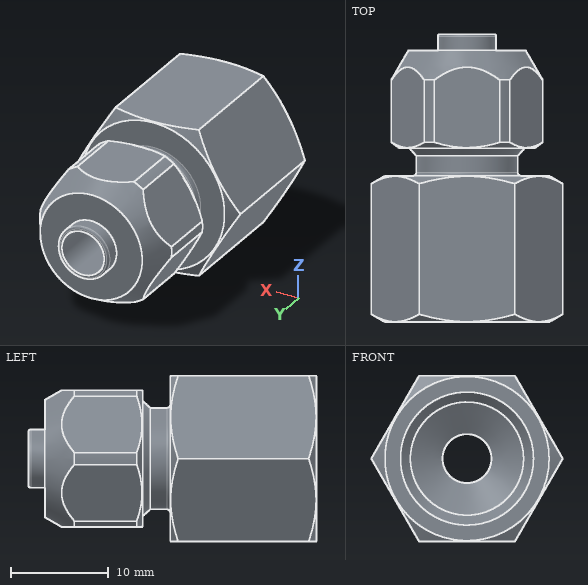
import cadquery as cq
import math

HEX_CHAMFER_ANGLE = math.radians(30)
DRILL_HALF_ANGLE = math.radians(59)

body_length = 15.0
body_flats = 17.0
body_corner_radius = body_flats / math.sqrt(3)
body_face_radius = 8.4

neck_radius = 10.4 / 2
neck_root_fillet = 0.35
collar_start = 17.02
collar_radius = 5.9

nut_start = 17.8
nut_end = 27.82
nut_flats = 14.0
nut_corner_radius = 7.75
nut_back_radius = 6.9
nut_back_angle = math.radians(36)
nut_front_radius = 6.02
nut_cone_angle = math.radians(60)

tube_end = 29.5
tube_radius = 6.0 / 2
tube_edge_fillet = 0.25

passage_radius = 5.0 / 2
socket_radius = 11.6 / 2
socket_mouth_radius = 6.8
socket_depth = 10.92


def revolve_profile(points):
    """Revolve a closed (radius, y) outline about the Y axis."""
    return cq.Workplane("XY").polyline(points).close().revolve(360, (0, 0, 0), (0, 1, 0))


def hexagon(flats, start, end):
    """Hexagonal bar along Y with corners on +X and -X."""
    corner_diameter = 2 * flats / math.sqrt(3)
    base = cq.Workplane("XZ", origin=(0, start, 0))
    return base.polygon(6, corner_diameter).extrude(start - end)


def turned_hexagon(flats, start, end, corner_radius, start_face, end_face):
    """Hexagon with conical ends; each end face is (radius, cone angle from the face)."""
    start_radius, start_angle = start_face
    end_radius, end_angle = end_face
    start_cone = (corner_radius - start_radius) * math.tan(start_angle)
    end_cone = (corner_radius - end_radius) * math.tan(end_angle)
    envelope = revolve_profile([
        (0, start),
        (start_radius, start),
        (corner_radius, start + start_cone),
        (corner_radius, end - end_cone),
        (end_radius, end),
        (0, end),
    ])
    return hexagon(flats, start, end).intersect(envelope)


def make_body():
    face = (body_face_radius, HEX_CHAMFER_ANGLE)
    return turned_hexagon(body_flats, 0, body_length, body_corner_radius, face, face)


def make_nut():
    back_face = (nut_back_radius, nut_back_angle)
    front_face = (nut_front_radius, nut_cone_angle)
    return turned_hexagon(nut_flats, nut_start, nut_end, nut_corner_radius, back_face, front_face)


def make_neck():
    """Neck with a concave root at the body and a flared collar against the nut."""
    root_radius = neck_radius + neck_root_fillet
    fillet_end = body_length + neck_root_fillet
    outline = (
        cq.Workplane("XY")
        .moveTo(0, body_length)
        .lineTo(root_radius, body_length)
        .radiusArc((neck_radius, fillet_end), neck_root_fillet)
        .lineTo(neck_radius, collar_start)
        .lineTo(collar_radius, nut_start)
        .lineTo(0, nut_start)
        .close()
    )
    return outline.revolve(360, (0, 0, 0), (0, 1, 0))


def make_tube():
    stub = cq.Workplane("XZ", origin=(0, nut_end, 0)).circle(tube_radius).extrude(nut_end - tube_end)
    return stub.faces(">Y").edges().fillet(tube_edge_fillet)


def make_bore():
    """Socket with a 45 degree mouth and a drill-point bottom, then the through passage."""
    mouth_depth = socket_mouth_radius - socket_radius
    drill_point = (socket_radius - passage_radius) / math.tan(DRILL_HALF_ANGLE)
    return revolve_profile([
        (0, 0),
        (socket_mouth_radius, 0),
        (socket_radius, mouth_depth),
        (socket_radius, socket_depth),
        (passage_radius, socket_depth + drill_point),
        (passage_radius, tube_end),
        (0, tube_end),
    ])


result = make_body().union(make_neck()).union(make_nut()).union(make_tube()).cut(make_bore())